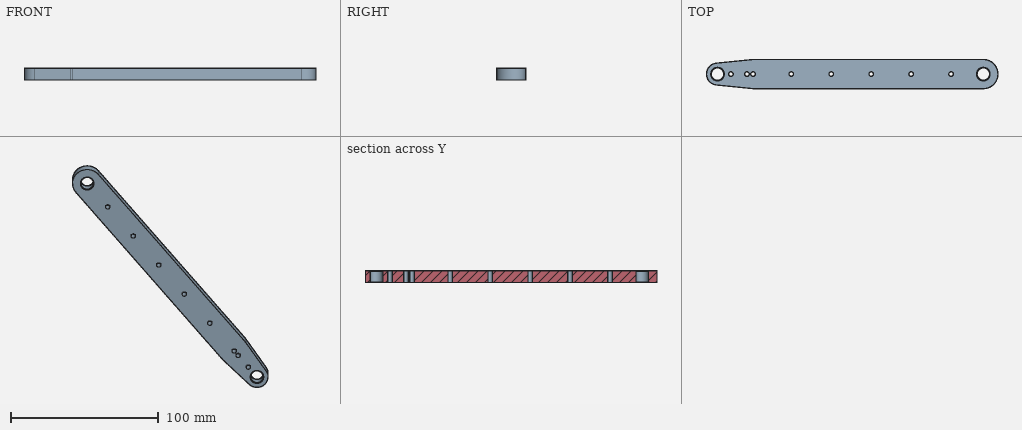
import cadquery as cq
import math

length = 197.5
width = 20.0
thickness = 8.0

wide_radius = width / 2
narrow_radius = 7.5
taper_end_x = 31.8
shoulder_radius = 11.8

bore_diameter = 8.3
bore_chamfer = 0.5
narrow_center_x = narrow_radius
wide_center_x = length - wide_radius

pin_diameter = 3.0
near_pin_offsets = [9.0, 20.0, 24.0]
row_start_offset = 50.0
row_pitch = 27.0
row_count = 5


def arm_body():
    """Plate with a full round at each end and a taper tangent to the narrow end."""
    run = taper_end_x - narrow_center_x
    corner_angle = math.atan2(wide_radius, run)
    taper_angle = corner_angle - math.asin(narrow_radius / math.hypot(run, wide_radius))
    tangent_x = narrow_center_x - narrow_radius * math.sin(taper_angle)
    tangent_y = narrow_radius * math.cos(taper_angle)

    shoulder_reach = shoulder_radius * math.tan(taper_angle / 2)
    shoulder_start_x = taper_end_x - shoulder_reach * math.cos(taper_angle)
    shoulder_start_y = wide_radius - shoulder_reach * math.sin(taper_angle)
    shoulder_end_x = taper_end_x + shoulder_reach
    shoulder_mid_x = shoulder_end_x - shoulder_radius * math.sin(taper_angle / 2)
    shoulder_mid_y = wide_radius - shoulder_radius * (1 - math.cos(taper_angle / 2))

    return (
        cq.Workplane("XY")
        .moveTo(tangent_x, -tangent_y)
        .lineTo(shoulder_start_x, -shoulder_start_y)
        .threePointArc((shoulder_mid_x, -shoulder_mid_y), (shoulder_end_x, -wide_radius))
        .lineTo(wide_center_x, -wide_radius)
        .threePointArc((length, 0), (wide_center_x, wide_radius))
        .lineTo(shoulder_end_x, wide_radius)
        .threePointArc((shoulder_mid_x, shoulder_mid_y), (shoulder_start_x, shoulder_start_y))
        .lineTo(tangent_x, tangent_y)
        .threePointArc((0, 0), (tangent_x, -tangent_y))
        .close()
        .extrude(thickness)
    )


def bore_cutter(center_x):
    """Pivot bore with a chamfered mouth on both faces."""
    radius = bore_diameter / 2
    mouth_radius = radius + bore_chamfer
    return (
        cq.Workplane("XZ")
        .moveTo(0, 0)
        .lineTo(mouth_radius, 0)
        .lineTo(radius, bore_chamfer)
        .lineTo(radius, thickness - bore_chamfer)
        .lineTo(mouth_radius, thickness)
        .lineTo(0, thickness)
        .close()
        .revolve(360, (0, 0), (0, 1))
        .translate((center_x, 0, 0))
    )


def pin_cutters():
    """All the small through holes."""
    row_offsets = [row_start_offset + i * row_pitch for i in range(row_count)]
    centers = [(narrow_center_x + offset, 0) for offset in near_pin_offsets + row_offsets]
    return cq.Workplane("XY").pushPoints(centers).circle(pin_diameter / 2).extrude(thickness)


result = arm_body().cut(pin_cutters())
for bore_x in (narrow_center_x, wide_center_x):
    result = result.cut(bore_cutter(bore_x))